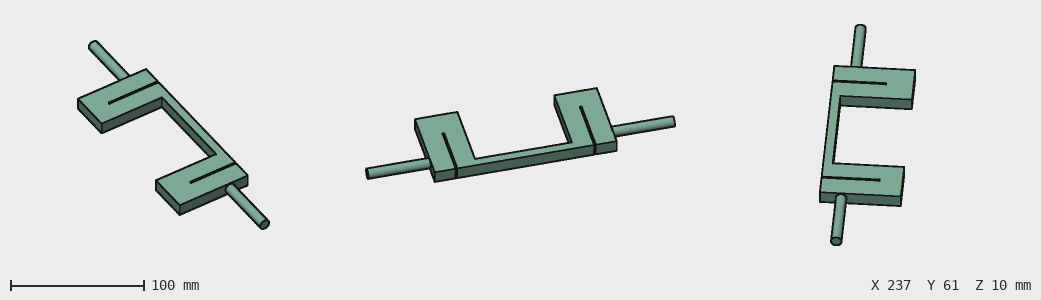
import cadquery as cq

length = 237.0
depth = 61.0
thickness = 10.0

rod_length = 48.1
body_width = length - 2 * rod_length
leg_width = 33.0
bridge_depth = 7.0
opening_width = body_width - 2 * leg_width

slot_width = 1.5
slot_inset = 16.1
left_slot_depth = 43.9
right_slot_depth = 40.3

rod_diameter = 8.0
rod_setback = 16.1

rear_y = depth / 2
front_y = -depth / 2


def block(width, block_depth, x, y):
    """Full-thickness block centred at (x, y)."""
    return cq.Workplane("XY").box(width, block_depth, thickness).translate((x, y, 0))


def make_body():
    body = block(body_width, depth, 0, 0)
    opening_depth = depth - bridge_depth
    return body.cut(block(opening_width, opening_depth, 0, front_y + opening_depth / 2))


def make_slot(side, slot_depth):
    """Slot on the side given by -1 (left) or 1 (right)."""
    x = side * (body_width / 2 - slot_inset - slot_width / 2)
    return block(slot_width, slot_depth, x, rear_y - slot_depth / 2)


def make_rod(side):
    """Round rod from one outer side face of the body."""
    start_x = body_width / 2 if side > 0 else -length / 2
    rod = cq.Workplane("YZ").circle(rod_diameter / 2).extrude(rod_length)
    return rod.translate((start_x, rear_y - rod_setback, 0))


result = make_body()
for side, slot_depth in ((-1, left_slot_depth), (1, right_slot_depth)):
    result = result.cut(make_slot(side, slot_depth)).union(make_rod(side))